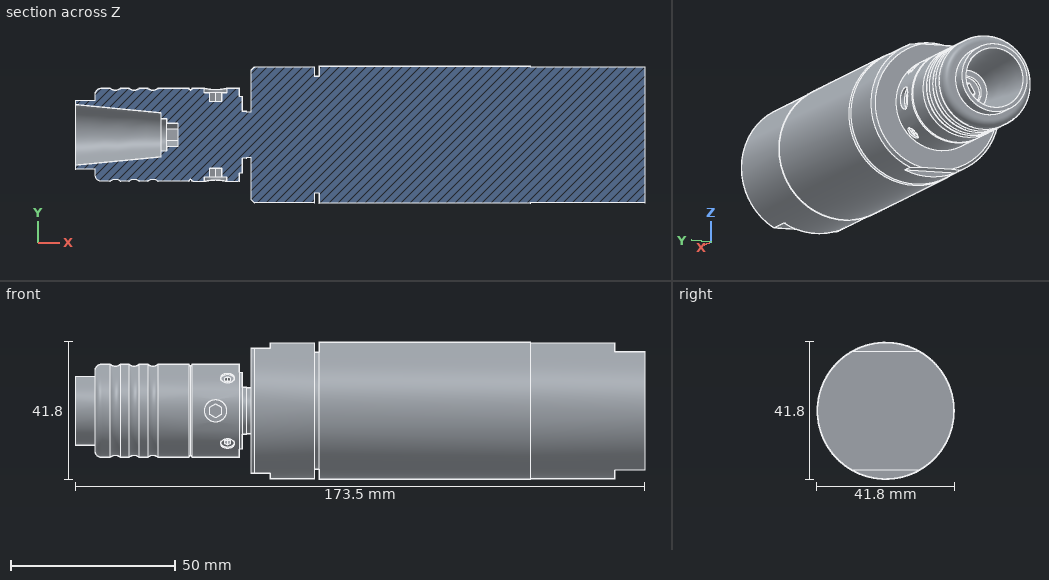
import cadquery as cq
import math

total_length = 173.5
barrel_diameter = 41.8
barrel_start = 74.3
barrel_end = 138.6

collar_diameter = 41.5
front_collar_start = 53.5
front_collar_end = 72.9
collar_chamfer = 1.0
relief_diameter = 35.7
front_flat_end = 59.3
front_flat_spacing = 38.2
rear_flat_start = 164.3
rear_flat_spacing = 36.1

tip_diameter = 21.0
sleeve_diameter = 28.5
sleeve_start = 5.9
sleeve_end = 50.0
sleeve_round = 2.0

vee_diameter = 27.0
vee_start = 34.5
vee_width = 1.0

grip_count = 3
grip_start = 10.5
grip_pitch = 5.7
grip_width = 3.1
grip_depth = 0.6

washer_diameter = 23.5
washer_end = 50.8
shoulder_diameter = 14.4
shoulder_end = 52.0
neck_diameter = 14.0

mouth_diameter = 18.4
floor_diameter = 13.4
socket_depth = 26.0
step_diameter = 9.7
step_depth = 1.7
hex_across_flats = 6.0
hex_depth = 3.5

large_screw_count = 2
large_screw_x = 42.7
large_screw_diameter = 6.8
large_screw_recess = 1.4
large_key_across_flats = 3.6
large_key_depth = 2.6
small_screw_x = 46.3
small_screw_diameter = 4.2
small_screw_recess = 0.7
small_key_across_flats = 1.9
small_key_depth = 1.7
small_screw_count = 4


def cylinder(diameter, start, end):
    """Cylinder on the X axis between two stations."""
    return cq.Workplane("YZ", origin=(start, 0, 0)).circle(diameter / 2).extrude(end - start)


def hexagon(plane, across_flats, depth):
    """Hexagonal prism with two of its corners on the plane's local X axis."""
    return cq.Workplane(plane).polygon(6, across_flats / math.cos(math.pi / 6)).extrude(depth)


def make_sleeve():
    sleeve = cylinder(sleeve_diameter, sleeve_start, sleeve_end).faces("<X").edges().fillet(sleeve_round)
    radius = sleeve_diameter / 2
    for index in range(grip_count):
        start = grip_start + index * grip_pitch
        end = start + grip_width
        groove = (
            cq.Workplane("XY")
            .moveTo(start, radius)
            .threePointArc(((start + end) / 2, radius - grip_depth), (end, radius))
            .lineTo(end, barrel_diameter / 2)
            .lineTo(start, barrel_diameter / 2)
            .close()
            .revolve(360, (0, 0, 0), (1, 0, 0))
        )
        sleeve = sleeve.cut(groove)
    vee = (
        cq.Workplane("XY")
        .polyline(
            [
                (vee_start, radius),
                (vee_start + vee_width / 2, vee_diameter / 2),
                (vee_start + vee_width, radius),
            ]
        )
        .close()
        .revolve(360, (0, 0, 0), (1, 0, 0))
    )
    return sleeve.cut(vee)


def make_collar(start, end, flat_start, flat_end, flat_spacing, chamfer=0):
    """Round collar with a pair of wrench flats facing +Z and -Z."""
    collar = cylinder(collar_diameter, start, end)
    if chamfer:
        collar = collar.faces("<X").edges().chamfer(chamfer)
    flat_length = flat_end - flat_start
    slab = cq.Workplane("XY").box(flat_length, barrel_diameter, barrel_diameter, centered=(False, True, False))
    for side in (0, 180):
        cutter = slab.translate((flat_start, 0, flat_spacing / 2)).rotate((0, 0, 0), (1, 0, 0), side)
        collar = collar.cut(cutter)
    return collar


def make_socket():
    """Tapered bore, round step and hexagonal recess, as one cutting tool."""
    taper = (
        cq.Workplane("XY")
        .polyline([(0, 0), (0, mouth_diameter / 2), (socket_depth, floor_diameter / 2), (socket_depth, 0)])
        .close()
        .revolve(360, (0, 0, 0), (1, 0, 0))
    )
    step_end = socket_depth + step_depth
    step = cylinder(step_diameter, socket_depth, step_end)
    hex_plane = cq.Plane(origin=(step_end, 0, 0), xDir=(0, 1, 0), normal=(1, 0, 0))
    return taper.union(step).union(hexagon(hex_plane, hex_across_flats, hex_depth))


def make_screw_recess(station, angle, diameter, recess, key_across_flats, key_depth):
    """Round screw recess with a hexagonal key socket, turned about X from the -Y side."""
    floor_radius = sleeve_diameter / 2 - recess
    hole_plane = cq.Plane(origin=(station, -floor_radius, 0), xDir=(0, 0, 1), normal=(0, -1, 0))
    key_plane = cq.Plane(origin=(station, -floor_radius, 0), xDir=(0, 0, 1), normal=(0, 1, 0))
    hole = cq.Workplane(hole_plane).circle(diameter / 2).extrude(2 * recess)
    key = hexagon(key_plane, key_across_flats, key_depth)
    return hole.union(key).rotate((0, 0, 0), (1, 0, 0), angle)


result = (
    cylinder(tip_diameter, 0, sleeve_start)
    .union(make_sleeve())
    .union(cylinder(washer_diameter, sleeve_end, washer_end))
    .union(cylinder(shoulder_diameter, washer_end, shoulder_end))
    .union(cylinder(neck_diameter, shoulder_end, front_collar_start))
    .union(
        make_collar(
            front_collar_start,
            front_collar_end,
            front_collar_start,
            front_flat_end,
            front_flat_spacing,
            collar_chamfer,
        )
    )
    .union(cylinder(relief_diameter, front_collar_end, barrel_start))
    .union(cylinder(barrel_diameter, barrel_start, barrel_end))
    .union(make_collar(barrel_end, total_length, rear_flat_start, total_length, rear_flat_spacing))
    .cut(make_socket())
)

for index in range(large_screw_count):
    large_screw_angle = index * 360 / large_screw_count
    result = result.cut(
        make_screw_recess(
            large_screw_x,
            large_screw_angle,
            large_screw_diameter,
            large_screw_recess,
            large_key_across_flats,
            large_key_depth,
        )
    )

for index in range(small_screw_count):
    small_screw_angle = (index + 0.5) * 360 / small_screw_count
    result = result.cut(
        make_screw_recess(
            small_screw_x,
            small_screw_angle,
            small_screw_diameter,
            small_screw_recess,
            small_key_across_flats,
            small_key_depth,
        )
    )